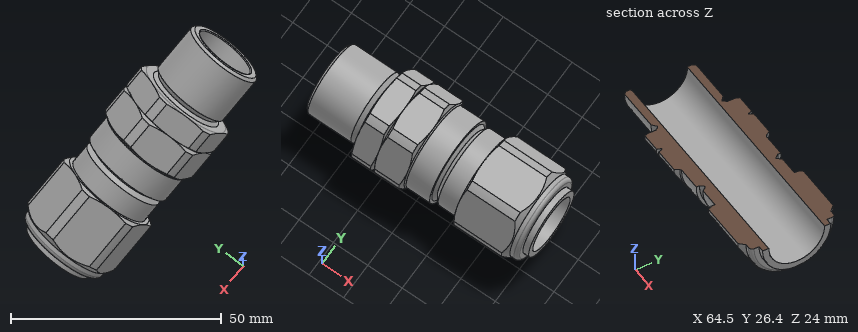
import cadquery as cq
import math


across_flats = 24.0
across_corners = 26.35
corner_radius = across_corners / 2
face_radius = across_flats / 2

spigot_radius = 10.0
spigot_chamfer = 0.7
spigot_end = 13.2

relief_radius = 8.9
relief_bottom = 14.45
relief_shoulder_radius = 9.85

lock_hex_start = 15.2
lock_hex_end = 21.6
body_hex_end = 30.1
clamp_nut_start = 44.65
clamp_nut_end = 60.65
lock_hex_chamfer = 0.4
body_hex_chamfer = 0.65
clamp_nut_front_chamfer = 0.65
clamp_nut_back_chamfer = 1.4

barrel_radius = 11.7
barrel_start = 30.5
barrel_end = 37.3
groove_mouth_radius = 10.8
groove_radius = 9.8
groove_bottom = 38.15
sleeve_radius = 11.0
sleeve_start = 39.25

collar_end = 62.8
collar_fillet = 0.95
tail_radius = 9.4
total_length = 64.45

bore_radius = 7.7
bore_chamfer = 0.25


def revolve_about_x(profile):
    """Revolve a closed profile drawn as (x, radius) around the X axis."""
    return profile.close().revolve(360, (0, 0, 0), (1, 0, 0))


def make_hexagon(start, end, start_chamfer, end_chamfer, end_radius=face_radius):
    """Hexagon with flats facing +Z and -Z, rounded corners and coned ends."""
    length = end - start
    prism = (
        cq.Workplane("YZ", origin=(start, 0, 0))
        .polygon(6, across_flats / math.cos(math.pi / 6))
        .extrude(length)
    )
    envelope = revolve_about_x(
        cq.Workplane("XY")
        .moveTo(start, 0)
        .lineTo(start, face_radius)
        .lineTo(start + start_chamfer, corner_radius)
        .lineTo(end - end_chamfer, corner_radius)
        .lineTo(end, end_radius)
        .lineTo(end, 0)
    )
    return prism.intersect(envelope)


def make_round_body():
    """All turned surfaces, running through the middle of the hexagons."""
    fillet_offset = collar_fillet * math.sqrt(0.5)
    fillet_center_x = collar_end - collar_fillet
    fillet_center_radius = barrel_radius - collar_fillet
    return revolve_about_x(
        cq.Workplane("XY")
        .moveTo(0, 0)
        .lineTo(0, spigot_radius - spigot_chamfer)
        .lineTo(spigot_chamfer, spigot_radius)
        .lineTo(spigot_end, spigot_radius)
        .lineTo(relief_bottom, relief_radius)
        .lineTo(lock_hex_start, relief_shoulder_radius)
        .lineTo(body_hex_end, relief_shoulder_radius)
        .lineTo(body_hex_end, face_radius)
        .lineTo(barrel_start, barrel_radius)
        .lineTo(barrel_end, barrel_radius)
        .lineTo(barrel_end, groove_mouth_radius)
        .lineTo(groove_bottom, groove_radius)
        .lineTo(sleeve_start, sleeve_radius)
        .lineTo(clamp_nut_end, sleeve_radius)
        .lineTo(clamp_nut_end, barrel_radius)
        .lineTo(fillet_center_x, barrel_radius)
        .threePointArc(
            (fillet_center_x + fillet_offset, fillet_center_radius + fillet_offset),
            (collar_end, fillet_center_radius),
        )
        .lineTo(collar_end, tail_radius)
        .lineTo(total_length, tail_radius)
        .lineTo(total_length, 0)
    )


def make_bore():
    """Through bore with a chamfered mouth at the spigot end."""
    return revolve_about_x(
        cq.Workplane("XY")
        .moveTo(0, 0)
        .lineTo(0, bore_radius + bore_chamfer)
        .lineTo(bore_chamfer, bore_radius)
        .lineTo(total_length, bore_radius)
        .lineTo(total_length, 0)
    )


lock_hex = make_hexagon(lock_hex_start, lock_hex_end, lock_hex_chamfer, lock_hex_chamfer)
body_hex = make_hexagon(lock_hex_end, body_hex_end, body_hex_chamfer, body_hex_chamfer)
clamp_nut = make_hexagon(
    clamp_nut_start, clamp_nut_end, clamp_nut_front_chamfer, clamp_nut_back_chamfer, barrel_radius
)

result = make_round_body().union(lock_hex).union(body_hex).union(clamp_nut).cut(make_bore())